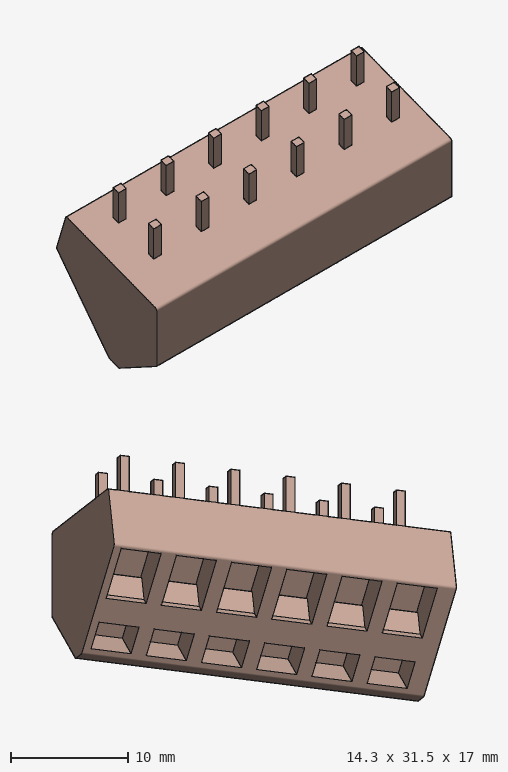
import cadquery as cq
import math

length = 31.48
way_count = 6
end_wall = 1.0
pitch = (length - end_wall) / way_count
width = 14.25
housing_height = 13.0
total_height = 17.0
edge_radius = 0.28
lean_angle = math.radians(13.8)
nose_front = 7.45
nose_back = 8.88
top_front = 1.32

pin_width = 0.75
pin_thickness = 0.82
pin_row_front = 4.25
pin_row_spacing = 5.0
pin_row_count = 2

pocket_width = 3.68
pocket_depth = 2.83
upper_pocket_heights = (3.87, 7.3)
lower_pocket_heights = (0.4, 2.25)
ledge_foot = 0.5
ledge_top = 6.58
ledge_radius = 0.3

way_positions = [length / 2 - pitch * (i + 0.5) for i in range(way_count)]


def extruded(points, depth, y_center):
    """Solid with the given X-Z outline, centred on y_center."""
    sketch = cq.Workplane("XZ", origin=(0, y_center, 0)).polyline(points).close()
    return sketch.extrude(depth / 2, both=True)


def make_housing():
    slope = math.tan(lean_angle)
    front_z = (nose_front - top_front + housing_height * slope) / (1 + slope)
    outline = [
        (nose_front, 0),
        (nose_back, 0),
        (width, width - nose_back),
        (width, housing_height),
        (top_front, housing_height),
        (nose_front - front_z, front_z),
    ]
    return extruded(outline, length, 0).edges("|Y").fillet(edge_radius)


def make_pocket(heights, y_center):
    low, high = heights
    reach = pocket_depth / math.sqrt(2)
    outline = [
        (nose_front - low, low),
        (nose_front - low + reach, low + reach),
        (nose_front - high + reach, high + reach),
        (nose_front - high, high),
    ]
    return extruded(outline, pocket_width, y_center)


def make_ledge(y_center):
    """Leaning step with a rounded top edge that stands on the lower wall of an upper pocket."""
    foot_z = upper_pocket_heights[0] + ledge_foot
    foot_x = nose_front - upper_pocket_heights[0] + ledge_foot
    top_x = foot_x + (ledge_top - foot_z) * math.tan(lean_angle)
    outline = [
        (foot_x, foot_z),
        (top_x, ledge_top),
        (width / 2, ledge_top),
        (width / 2, foot_z),
    ]
    ledge = extruded(outline, pocket_width, y_center)
    top_edge = cq.selectors.NearestToPointSelector((top_x, y_center, ledge_top))
    return ledge.edges(top_edge).fillet(ledge_radius)


def make_pin(x, y_center):
    pin_height = total_height - housing_height
    base = cq.Workplane("XY", origin=(x, y_center, housing_height))
    return base.rect(pin_width, pin_thickness).extrude(pin_height)


result = make_housing()
for y in way_positions:
    upper_pocket = make_pocket(upper_pocket_heights, y).cut(make_ledge(y))
    result = result.cut(upper_pocket).cut(make_pocket(lower_pocket_heights, y))
    for row in range(pin_row_count):
        result = result.union(make_pin(pin_row_front + row * pin_row_spacing, y))